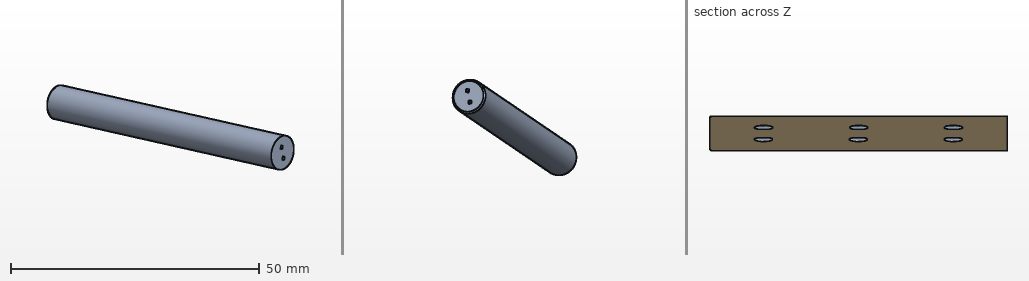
import cadquery as cq
import math

length = 60.0
diameter = 7.0
chamfer_depth = 0.3
chamfer_radial = 0.35

channel_diameter = 0.7
channel_offset_y = 0.27
channel_offset_z = 1.2
helix_angle = 30.0
helix_pitch = math.pi * diameter / math.tan(math.radians(helix_angle))
twist = 360.0 * length / helix_pitch


def make_rod():
    """Revolve the half profile about the X axis; only the end at X = 0 is chamfered."""
    radius = diameter / 2
    return (
        cq.Workplane("XY")
        .moveTo(0, 0)
        .lineTo(0, radius - chamfer_radial)
        .lineTo(chamfer_depth, radius)
        .lineTo(length, radius)
        .lineTo(length, 0)
        .close()
        .revolve(360, (0, 0, 0), (1, 0, 0))
    )


def make_channel(side):
    """Right-hand twisted channel through the rod; side is +1 or -1 for the opposite pair."""
    return (
        cq.Workplane("YZ")
        .pushPoints([(side * channel_offset_y, side * channel_offset_z)])
        .circle(channel_diameter / 2)
        .twistExtrude(length, twist)
    )


result = make_rod()
for side in (1, -1):
    result = result.cut(make_channel(side))
result = result.translate((-length / 2, 0, 0))